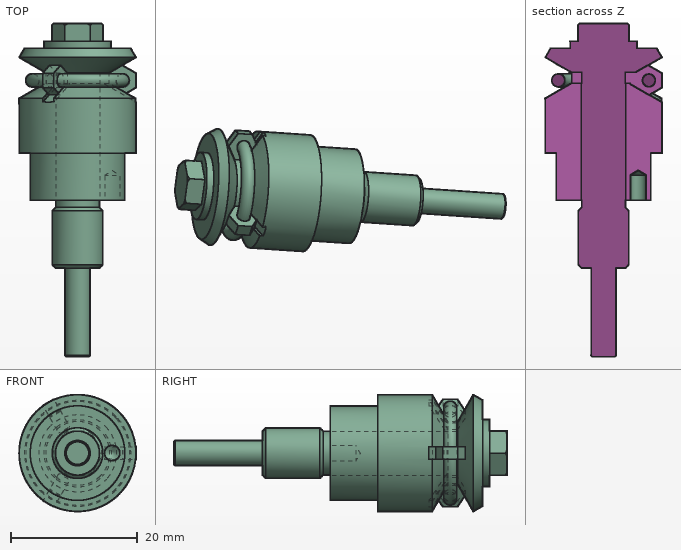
import cadquery as cq
import math


CONE_TAN = math.tan(math.radians(30))

OUTER_D = 18.5
OUTER_R = OUTER_D / 2

STEP_R = 7.5
STEP_Y = 7.5
HOUSING_RIM_Y = 16.1
PIN_HOLE_D = 2.4
PIN_HOLE_X = 5.5
PIN_HOLE_DEPTH = 4.0
DRILL_POINT_TAN = math.tan(math.radians(31))

CONE_RIM_Y = 22.6
CONE_DEPTH = 2.4
BEVEL_HEIGHT = 1.5
FLANGE_R = 5.3
FLANGE_HEIGHT = 1.1
HEX_FLATS = 7.0
HEX_HEIGHT = 2.8
HEX_CHAMFER = 0.25
NECK_R = 3.5
NECK_LENGTH = 1.1
THREAD_R = 4.0
THREAD_LENGTH = 9.6
THREAD_CHAMFER = 0.55
SHANK_R = 2.0
SHANK_CHAMFER = 0.2
TOTAL_LENGTH = 52.7

JAW_COUNT = 3
JAW_WIDTH = 2.0
JAW_TIP_HEIGHT = 2.3
SLOT_DEPTH = 0.6
RING_Y = 18.95
RING_CENTRE_R = 7.15
RING_WIRE_R = 1.05

CONE_SMALL_R = OUTER_R - CONE_DEPTH / CONE_TAN
CONE_END_Y = CONE_RIM_Y - CONE_DEPTH
HOUSING_TOP_Y = HOUSING_RIM_Y + CONE_DEPTH
BEVEL_TOP_Y = CONE_RIM_Y + BEVEL_HEIGHT
BEVEL_TOP_R = OUTER_R - BEVEL_HEIGHT * CONE_TAN
FLANGE_TOP_Y = BEVEL_TOP_Y + FLANGE_HEIGHT
HEAD_TOP_Y = FLANGE_TOP_Y + HEX_HEIGHT
HEX_CORNER_R = HEX_FLATS / math.sqrt(3)
SHANK_END_Y = HEAD_TOP_Y - TOTAL_LENGTH
THREAD_TOP_Y = -NECK_LENGTH
THREAD_END_Y = THREAD_TOP_Y - THREAD_LENGTH
JAW_INNER_R = (NECK_R + CONE_SMALL_R) / 2


def turned(points):
    """Solid of revolution about Y from (radius, y) points."""
    return cq.Workplane("XY").polyline(points).close().revolve(360, (0, 0, 0), (0, 1, 0))


def around_axis(shape):
    """Copies of a shape, evenly spaced around Y."""
    return [shape.rotate((0, 0, 0), (0, 1, 0), 360 / JAW_COUNT * i) for i in range(JAW_COUNT)]


def jaw_bar(points):
    """Bar as wide as a jaw, from its (radius, y) side outline."""
    return cq.Workplane("XY").polyline(points).close().extrude(JAW_WIDTH / 2, both=True)


def bolt_cone_y(radius):
    return CONE_RIM_Y - (OUTER_R - radius) * CONE_TAN


def slot_floor_y(radius):
    return HOUSING_RIM_Y - SLOT_DEPTH + (OUTER_R - radius) * CONE_TAN


def make_housing():
    body = turned([
        (NECK_R, 0), (STEP_R, 0), (STEP_R, STEP_Y), (OUTER_R, STEP_Y), (OUTER_R, HOUSING_RIM_Y),
        (CONE_SMALL_R, HOUSING_TOP_Y), (NECK_R, HOUSING_TOP_Y),
    ])
    slot_end_r = OUTER_R + JAW_WIDTH
    slot = jaw_bar([
        (JAW_INNER_R, slot_floor_y(JAW_INNER_R)), (slot_end_r, slot_floor_y(slot_end_r)),
        (slot_end_r, HOUSING_TOP_Y), (JAW_INNER_R, HOUSING_TOP_Y),
    ])
    for cutter in around_axis(slot):
        body = body.cut(cutter)
    hole_r = PIN_HOLE_D / 2
    pin_hole = turned([
        (0, 0), (hole_r, 0), (hole_r, PIN_HOLE_DEPTH),
        (0, PIN_HOLE_DEPTH + hole_r * DRILL_POINT_TAN),
    ])
    return body.cut(pin_hole.translate((PIN_HOLE_X, 0, 0)))


def make_hex_head():
    prism = (
        cq.Workplane("XZ", origin=(0, FLANGE_TOP_Y, 0))
        .polygon(6, 2 * HEX_CORNER_R).extrude(-HEX_HEIGHT)
    )
    corner_rounding = turned([
        (0, FLANGE_TOP_Y), (HEX_CORNER_R, FLANGE_TOP_Y), (HEX_CORNER_R, HEAD_TOP_Y - HEX_CHAMFER),
        (HEX_CORNER_R - HEX_CHAMFER, HEAD_TOP_Y), (0, HEAD_TOP_Y),
    ])
    return prism.intersect(corner_rounding)


def make_draw_bolt():
    turned_part = turned([
        (0, SHANK_END_Y), (SHANK_R - SHANK_CHAMFER, SHANK_END_Y),
        (SHANK_R, SHANK_END_Y + SHANK_CHAMFER), (SHANK_R, THREAD_END_Y),
        (THREAD_R - THREAD_CHAMFER, THREAD_END_Y), (THREAD_R, THREAD_END_Y + THREAD_CHAMFER),
        (THREAD_R, THREAD_TOP_Y - THREAD_CHAMFER), (NECK_R, THREAD_TOP_Y),
        (NECK_R, CONE_END_Y), (CONE_SMALL_R, CONE_END_Y), (OUTER_R, CONE_RIM_Y),
        (BEVEL_TOP_R, BEVEL_TOP_Y), (FLANGE_R, BEVEL_TOP_Y), (FLANGE_R, FLANGE_TOP_Y),
        (0, FLANGE_TOP_Y),
    ])
    return turned_part.union(make_hex_head())


def make_ring():
    return (
        cq.Workplane("XY").center(RING_CENTRE_R, RING_Y).circle(RING_WIRE_R)
        .revolve(360, (-RING_CENTRE_R, 0, 0), (-RING_CENTRE_R, 1, 0))
    )


def make_jaws(ring):
    """Three jaws joined by a sleeve around the bolt, with a passage for the ring."""
    tip_low_y = RING_Y - JAW_TIP_HEIGHT / 2
    tip_high_y = RING_Y + JAW_TIP_HEIGHT / 2
    lower_r = OUTER_R - (tip_low_y - slot_floor_y(OUTER_R)) / (2 * CONE_TAN)
    upper_r = OUTER_R - (bolt_cone_y(OUTER_R) - tip_high_y) / (2 * CONE_TAN)
    jaw = jaw_bar([
        (JAW_INNER_R, slot_floor_y(JAW_INNER_R)), (lower_r, slot_floor_y(lower_r)),
        (OUTER_R, tip_low_y), (OUTER_R, tip_high_y),
        (upper_r, bolt_cone_y(upper_r)), (JAW_INNER_R, bolt_cone_y(JAW_INNER_R)),
    ])
    jaws = turned([
        (NECK_R, HOUSING_TOP_Y), (CONE_SMALL_R, HOUSING_TOP_Y),
        (CONE_SMALL_R, CONE_END_Y), (NECK_R, CONE_END_Y),
    ])
    for copy in around_axis(jaw):
        jaws = jaws.union(copy)
    return jaws.cut(ring)


housing = make_housing()
draw_bolt = make_draw_bolt()
ring = make_ring()
jaws = make_jaws(ring)

result = cq.Compound.makeCompound([housing.val(), draw_bolt.val(), ring.val(), jaws.val()])